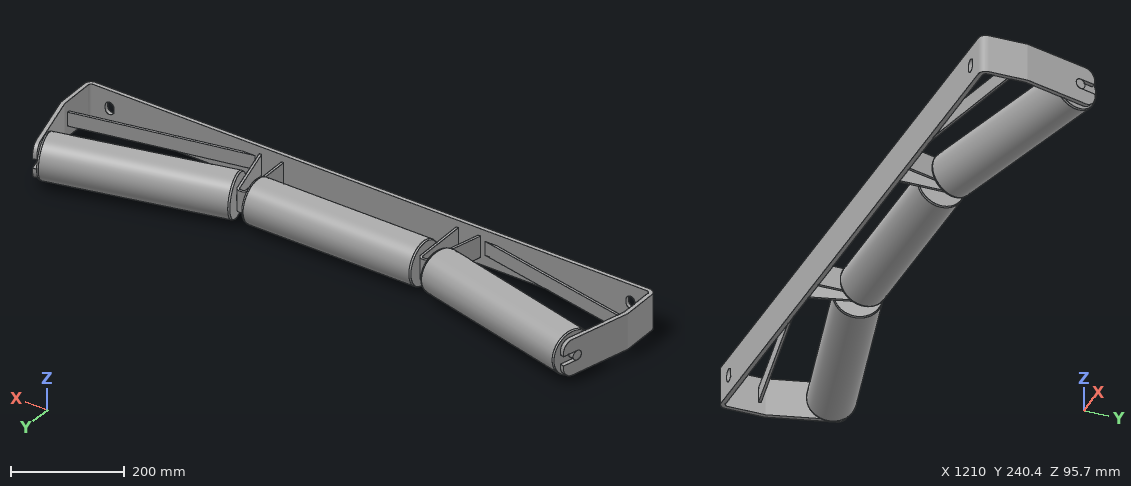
import cadquery as cq
import math

LENGTH = 1210.0
WIDTH = 75.0
WALL = 8.0
CORNER_R = 15.0
TROUGH_ANGLE = 15.0
KINK_Y = 88.0
ARM_TOP_Y = 232.0
ARM_TIP_R = 20.0
MOUNT_SLOT_X = 555.0
MOUNT_SLOT_LENGTH = 25.0
MOUNT_SLOT_WIDTH = 18.0

ROLLER_D = 90.0
ROLLER_LENGTH = 360.0
RIM_BEVEL = 1.0
RIM_LENGTH = 4.0
SHAFT_D = 19.0
CENTRE_AXIS_Y = 100.0
ROLLER_DROP = 6.0
SHAFT_UP_ARM = 117.0
SIDE_DRUM_START = 12.0

BRACKET_THICKNESS = 5.0
BRACKET_WIDTH = 45.0
BRACKET_LEG_X = 184.0
BRACKET_FOOT_X = 236.0
BRACKET_TOP_Y = 128.0
BRACKET_BEND_R = 10.0

BRACE_THICKNESS = 5.0
BRACE_WIDTH = 29.0
BRACE_TOP_Y = 79.0
BRACE_FOOT_X = 246.0

HALF_LENGTH = LENGTH / 2
ARM_INNER_X = HALF_LENGTH - WALL
MID_Z = WIDTH / 2
INNER_AXIS_Z = MID_Z - ROLLER_DROP
SIN = math.sin(math.radians(TROUGH_ANGLE))
COS = math.cos(math.radians(TROUGH_ANGLE))
TAN = math.tan(math.radians(TROUGH_ANGLE))
HALF_TAN = math.tan(math.radians(TROUGH_ANGLE / 2))

CENTRE_SHAFT_LENGTH = 2 * (BRACKET_LEG_X + BRACKET_THICKNESS)
CENTRE_DRUM_START = (CENTRE_SHAFT_LENGTH - ROLLER_LENGTH) / 2

SIDE_SHAFT_LENGTH = (HALF_LENGTH - BRACKET_FOOT_X) * COS + (KINK_Y - WALL) * SIN + BRACKET_THICKNESS
TILT = math.degrees(math.asin(ROLLER_DROP / SIDE_SHAFT_LENGTH))

CENTRE_PLACE = cq.Location(cq.Vector(-CENTRE_SHAFT_LENGTH / 2, CENTRE_AXIS_Y, INNER_AXIS_Z))
SIDE_PLACE = (
    cq.Location(cq.Vector(-HALF_LENGTH + SHAFT_UP_ARM * SIN, KINK_Y + SHAFT_UP_ARM * COS, MID_Z))
    * cq.Location(cq.Vector(), cq.Vector(0, 0, 1), -TROUGH_ANGLE)
    * cq.Location(cq.Vector(), cq.Vector(0, 1, 0), TILT)
)


def placed(body, place):
    """Move a body from its local position to its place in the assembly."""
    return cq.Workplane(body.val().moved(place))


def mirrored(body):
    """The same body on the other side of the centre plane."""
    return body.mirror("YZ")


def extruded_plate(points, width):
    """Outline in the XY plane, extruded symmetrically about mid-depth."""
    return cq.Workplane("XY", origin=(0, 0, MID_Z)).polyline(points).close().extrude(width / 2, both=True)


def around(x, y, margin=0.1):
    """Selector for the edges along Z at (x, y)."""
    return cq.selectors.BoxSelector((x - margin, y - margin, -WIDTH), (x + margin, y + margin, 2 * WIDTH))


def round_bends(body, corners, radius):
    """Fillet the edges along Z at each corner."""
    for x, y in corners:
        body = body.edges("|Z").edges(around(x, y)).fillet(radius)
    return body


def shaft(length):
    return cq.Workplane("YZ").circle(SHAFT_D / 2).extrude(length)


def roller(shaft_length, start):
    """Drum with bevelled rims on a shaft; the drum begins at start along the shaft."""
    radius = ROLLER_D / 2
    end = start + ROLLER_LENGTH
    profile = [
        (start, 0),
        (start, radius - RIM_BEVEL),
        (start + RIM_LENGTH, radius),
        (end - RIM_LENGTH, radius),
        (end, radius - RIM_BEVEL),
        (end, 0),
    ]
    drum = cq.Workplane("XY").polyline(profile).close().revolve(360, (0, 0, 0), (1, 0, 0))
    return drum.union(shaft(shaft_length))


def shaft_slot():
    """Cutter for the open-ended slot in the left arm that holds the outer shaft end."""
    reach = 2 * WALL
    opening = ARM_TOP_Y - KINK_Y
    channel = cq.Workplane("XY").box(2 * reach, opening, SHAFT_D).translate((0, opening / 2, 0))
    seat = shaft(2 * reach).translate((-reach, 0, 0))
    return placed(channel.union(seat), SIDE_PLACE)


def mounting_slots():
    """Cutters for the two upright slots through the base bar."""
    centres = [(-MOUNT_SLOT_X, MID_Z), (MOUNT_SLOT_X, MID_Z)]
    slots = cq.Workplane("XZ").pushPoints(centres)
    return slots.slot2D(MOUNT_SLOT_LENGTH, MOUNT_SLOT_WIDTH, 90).extrude(-WALL)


def frame():
    """Base bar with an upright arm at each end that bends inwards at the kink."""
    tip_x = HALF_LENGTH - (ARM_TOP_Y - KINK_Y) * TAN
    inner_tip_y = ARM_TOP_Y - WALL * SIN
    right_side = [
        (ARM_INNER_X, WALL),
        (ARM_INNER_X, KINK_Y - WALL * HALF_TAN),
        (tip_x - WALL * COS, inner_tip_y),
        (tip_x, ARM_TOP_Y),
        (HALF_LENGTH, KINK_Y),
        (HALF_LENGTH, 0),
    ]
    left_side = [(-x, y) for x, y in reversed(right_side)]
    body = extruded_plate(right_side + left_side, WIDTH)

    for side in (-1, 1):
        body = round_bends(body, [(side * HALF_LENGTH, 0)], CORNER_R)
        body = round_bends(body, [(side * ARM_INNER_X, WALL)], CORNER_R - WALL)
        body = round_bends(body, [(side * HALF_LENGTH, KINK_Y)], WALL)

    tip_zone = cq.selectors.BoxSelector(
        (-LENGTH, inner_tip_y - WALL, -WIDTH), (LENGTH, ARM_TOP_Y + WALL, 2 * WIDTH)
    )
    body = body.edges(tip_zone).edges("#Z").fillet(ARM_TIP_R)

    return body.cut(mounting_slots()).cut(shaft_slot()).cut(mirrored(shaft_slot()))


def sloped_leg_x(y):
    """Outer face of the left bracket's sloped leg at height y."""
    return -BRACKET_FOOT_X + (y - WALL) * TAN


def left_bracket():
    """Folded strip: an upright leg and a sloped leg joined by a rounded top."""
    leg_back_x = -BRACKET_LEG_X - BRACKET_THICKNESS
    sloped_thickness_x = BRACKET_THICKNESS / COS
    inner_top_y = BRACKET_TOP_Y - BRACKET_THICKNESS

    outer_bends = [(-BRACKET_LEG_X, BRACKET_TOP_Y), (sloped_leg_x(BRACKET_TOP_Y), BRACKET_TOP_Y)]
    inner_bends = [(sloped_leg_x(inner_top_y) + sloped_thickness_x, inner_top_y), (leg_back_x, inner_top_y)]
    sloped_foot = [(-BRACKET_FOOT_X, WALL), (-BRACKET_FOOT_X + sloped_thickness_x, WALL)]
    upright_foot = [(leg_back_x, WALL), (-BRACKET_LEG_X, WALL)]

    body = extruded_plate(outer_bends + sloped_foot + inner_bends + upright_foot, BRACKET_WIDTH)
    body = round_bends(body, outer_bends, BRACKET_BEND_R)
    body = round_bends(body, inner_bends, BRACKET_BEND_R - BRACKET_THICKNESS)

    body = body.cut(placed(shaft(CENTRE_SHAFT_LENGTH), CENTRE_PLACE))
    return body.cut(placed(shaft(SIDE_SHAFT_LENGTH), SIDE_PLACE))


def left_brace():
    """Flat strip sloping from the left arm down to the base bar."""
    run = ARM_INNER_X - BRACE_FOOT_X
    rise = BRACE_TOP_Y - WALL
    slant = math.hypot(run, rise)
    outline = [
        (-ARM_INNER_X, BRACE_TOP_Y),
        (-BRACE_FOOT_X, WALL),
        (-BRACE_FOOT_X - BRACE_THICKNESS * slant / rise, WALL),
        (-ARM_INNER_X, BRACE_TOP_Y - BRACE_THICKNESS * slant / run),
    ]
    return extruded_plate(outline, BRACE_WIDTH)


centre_roller = placed(roller(CENTRE_SHAFT_LENGTH, CENTRE_DRUM_START), CENTRE_PLACE)
left_roller = placed(roller(SIDE_SHAFT_LENGTH, SIDE_DRUM_START), SIDE_PLACE)

bodies = [frame(), centre_roller]
for left_body in (left_roller, left_bracket(), left_brace()):
    bodies += [left_body, mirrored(left_body)]

result = cq.Compound.makeCompound([body.solids().val() for body in bodies])